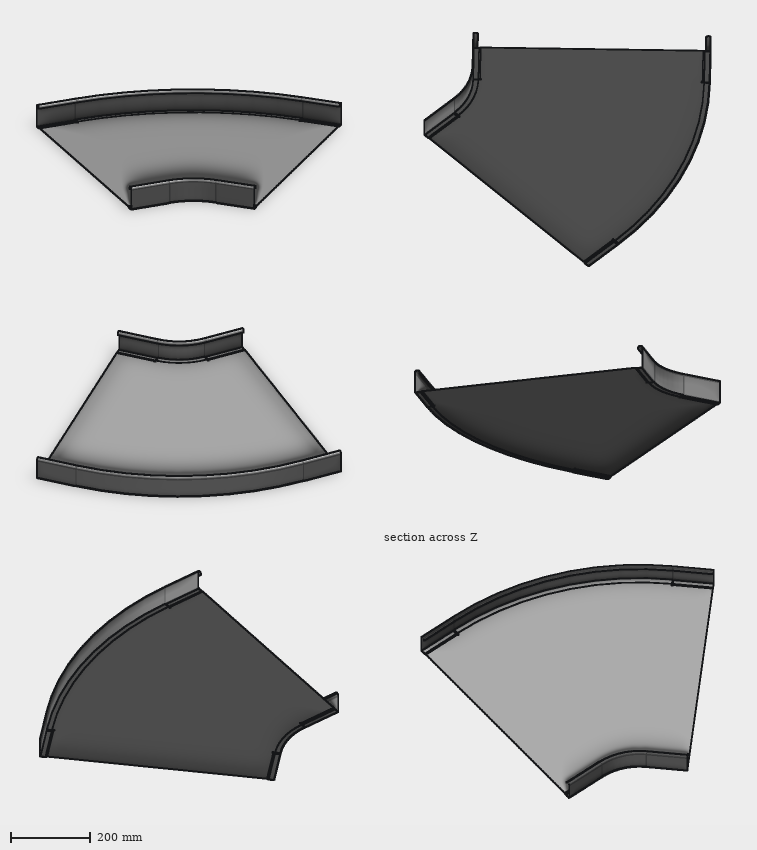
import cadquery as cq
import math


tray_width = 600.0
inner_radius = 151.0
straight_length = 105.0
bend_angle = 45
total_height = 62.0
sheet = 1.2

corner_radius = 2.0
flange_width = 15.0
rim_radius = 6.3
lip_drop = 2.0

step_start = 19.5
slot_end = 21.5
slot_width = 3.0

bend_center_x = tray_width + inner_radius
flange_bottom = sheet
flange_top = flange_bottom + sheet
floor_bottom = flange_top
floor_top = floor_bottom + sheet


def round_the_bend(shape):
    """Turn a shape about the bend centre, from the start of the bend to its end."""
    pivot = (bend_center_x, straight_length, 0)
    return shape.rotate(pivot, (bend_center_x, straight_length, 1), -bend_angle)


def sheet_along_tray(straight_section, bend_section):
    """Join two straight runs and the bend between them, from sections drawn in X and Z."""
    first_run = straight_section(cq.Workplane("XZ")).extrude(-straight_length)
    bend_plane = cq.Workplane("XZ", origin=(0, straight_length, 0))
    bend = bend_section(bend_plane).revolve(bend_angle, (bend_center_x, 0), (bend_center_x, -1))
    last_run = round_the_bend(first_run.translate((0, straight_length, 0)))
    return first_run.union(bend).union(last_run)


def make_rail(face_x, inward):
    """Side rail with its outside face at face_x; inward is +1 or -1 along X."""
    diagonal = math.sqrt(0.5)
    rim_z = total_height - rim_radius
    rim_bore = rim_radius - sheet
    rim_width = 2 * rim_radius
    lip_end_z = rim_z - lip_drop
    corner_z = flange_bottom + corner_radius
    corner_bore = corner_radius - sheet

    def at(depth, z):
        return (face_x + inward * depth, z)

    def corner_middle(radius):
        return at(corner_radius - radius * diagonal, corner_z - radius * diagonal)

    def section(plane):
        return (
            plane.moveTo(*at(flange_width, flange_bottom))
            .lineTo(*at(corner_radius, flange_bottom))
            .threePointArc(corner_middle(corner_radius), at(0, corner_z))
            .lineTo(*at(0, rim_z))
            .threePointArc(at(rim_radius, total_height), at(rim_width, rim_z))
            .lineTo(*at(rim_width, lip_end_z))
            .lineTo(*at(rim_width - sheet, lip_end_z))
            .lineTo(*at(rim_width - sheet, rim_z))
            .threePointArc(at(rim_radius, rim_z + rim_bore), at(sheet, rim_z))
            .lineTo(*at(sheet, corner_z))
            .threePointArc(corner_middle(corner_bore), at(corner_radius, flange_top))
            .lineTo(*at(flange_width, flange_top))
            .close()
        )

    return sheet_along_tray(section, section)


def make_floor():
    """Floor sheet that lies on the flanges in the bend and steps down under them at the ends."""

    def stepped_section(plane):
        upper_side = [
            (corner_radius, flange_bottom),
            (flange_width, flange_bottom),
            (step_start, floor_top),
            (tray_width - step_start, floor_top),
            (tray_width - flange_width, flange_bottom),
            (tray_width - corner_radius, flange_bottom),
        ]
        lower_side = [(x, z - sheet) for x, z in reversed(upper_side)]
        return plane.polyline(upper_side + lower_side).close()

    def flat_section(plane):
        return plane.polyline([
            (corner_radius, floor_bottom),
            (corner_radius, floor_top),
            (tray_width - corner_radius, floor_top),
            (tray_width - corner_radius, floor_bottom),
        ]).close()

    floor = sheet_along_tray(stepped_section, flat_section)

    slot = cq.Workplane("XY").box(slot_end, slot_width, floor_top, centered=False)
    for slot_x in (0, tray_width - slot_end):
        first_slot = slot.translate((slot_x, straight_length - slot_width, 0))
        last_slot = round_the_bend(slot.translate((slot_x, straight_length, 0)))
        floor = floor.cut(first_slot).cut(last_slot)
    return floor


outer_rail = make_rail(0, 1)
inner_rail = make_rail(tray_width, -1)
floor = make_floor()

result = cq.Compound.makeCompound([floor.val(), outer_rail.val(), inner_rail.val()])